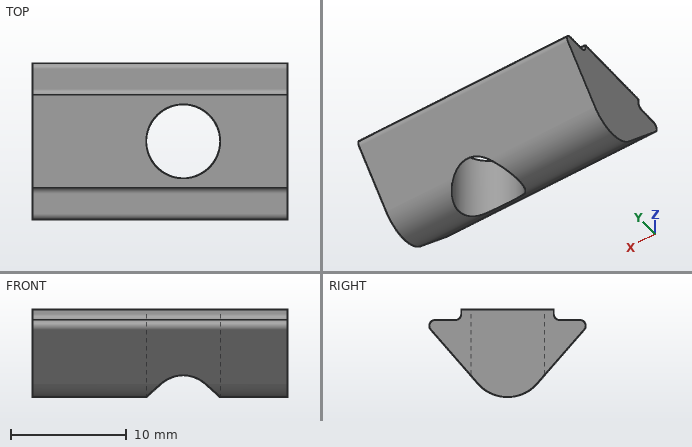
import cadquery as cq
import math

length = 22.0
width = 13.5
height = 7.57

strip_width = 8.0
shoulder_drop = 0.9
root_radius = 0.5

tip_radius = 0.5
belly_radius = 3.39

hole_diameter = 6.35
hole_offset = 2.0

tip_y = width / 2 - tip_radius
tip_z = -shoulder_drop - tip_radius
belly_z = -height + belly_radius

centre_distance = math.hypot(tip_y, tip_z - belly_z)
centre_slope = math.atan2(tip_z - belly_z, tip_y)
flank_normal = math.acos((belly_radius - tip_radius) / centre_distance) - centre_slope


def circle_point(centre_y, centre_z, radius, angle):
    """Point on a circle in the YZ plane, at an angle measured from +Y."""
    return (centre_y + radius * math.cos(angle), centre_z + radius * math.sin(angle))


def mirrored(point):
    """The same point on the -Y side."""
    return (-point[0], point[1])


def make_profile_bar():
    """Extrude the symmetric cross-section along the full length."""
    strip_edge = strip_width / 2
    root_y = strip_edge + root_radius
    root_z = -shoulder_drop + root_radius

    strip_corner = (strip_edge, 0)
    root_start = (strip_edge, root_z)
    root_middle = circle_point(root_y, root_z, root_radius, math.radians(225))
    root_end = (root_y, -shoulder_drop)
    tip_start = (tip_y, -shoulder_drop)
    tip_middle = (width / 2, tip_z)
    tip_end = circle_point(tip_y, tip_z, tip_radius, -flank_normal)
    belly_start = circle_point(0, belly_z, belly_radius, -flank_normal)
    belly_bottom = (0, -height)

    profile = (
        cq.Workplane("YZ", origin=(-length / 2, 0, 0))
        .moveTo(*strip_corner)
        .lineTo(*root_start)
        .threePointArc(root_middle, root_end)
        .lineTo(*tip_start)
        .threePointArc(tip_middle, tip_end)
        .lineTo(*belly_start)
        .threePointArc(belly_bottom, mirrored(belly_start))
        .lineTo(*mirrored(tip_end))
        .threePointArc(mirrored(tip_middle), mirrored(tip_start))
        .lineTo(*mirrored(root_end))
        .threePointArc(mirrored(root_middle), mirrored(root_start))
        .lineTo(*mirrored(strip_corner))
        .close()
    )
    return profile.extrude(length)


def make_hole():
    """Cylinder that pierces the bar from top to bottom."""
    return (
        cq.Workplane("XY")
        .center(hole_offset, 0)
        .circle(hole_diameter / 2)
        .extrude(-height)
    )


result = make_profile_bar().cut(make_hole())